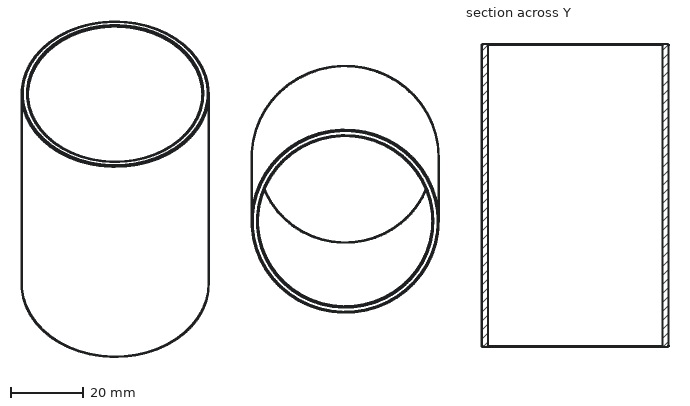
import cadquery as cq

outer_diameter = 52.0
bore_diameter = 48.4
length = 84.2
edge_chamfer = 0.3

sleeve = (
    cq.Workplane("XY")
    .circle(outer_diameter / 2)
    .circle(bore_diameter / 2)
    .extrude(length)
)

result = sleeve.faces("|Z").edges().chamfer(edge_chamfer)